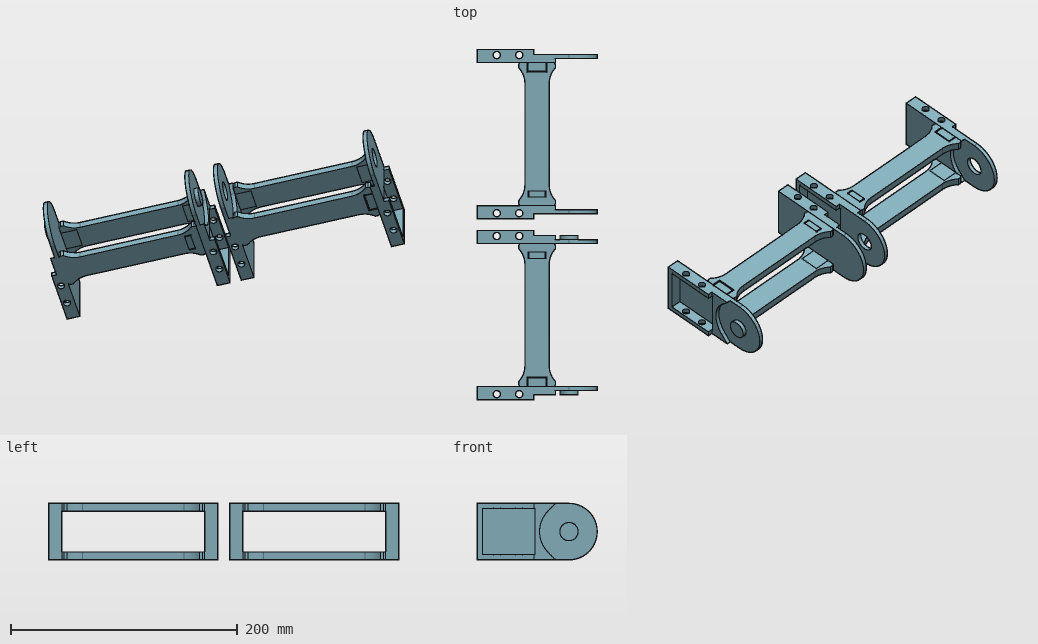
import cadquery as cq
import math


height = 50.0
total_length = 309.0
frame_gap = 10.2
frame_length = (total_length - frame_gap) / 2
frame_offset = (frame_length + frame_gap) / 2

inner_layer = 3.7
middle_layer = 3.7
outer_layer = 4.3
plate_thickness = inner_layer + middle_layer + outer_layer
outer_layer_length = height
pivot_x = 81.0
disc_radius = height / 2
disc_clearance = 1.0
boss_radius = 8.0
eye_clearance = 0.3

pocket_wall = 4.5
pocket_end_x = 51.0
pocket_floor = 2.0
pin_hole_radius = 3.0
pin_hole_xs = (17.3, 37.0)
pin_hole_inset = 5.0

bar_length = frame_length - 2 * plate_thickness
bar_thickness = 7.0
bar_x = 52.8
bar_half_width = 10.8
bar_end_half_width = 16.5
bar_end_straight = 4.3
flare_end = 18.2
corner_width = 1.0
corner_length = 2.0

tongue_width = 18.0
tongue_length = 14.5
tongue_thickness = 3.5
tab_side_gap = 1.0
hinge_window_width = 18.0
hinge_tab_length = 7.5
hinge_end_gap = 1.0
hinge_tab_drop = 0.3
latch_window_width = 16.0
latch_start = 7.5
latch_end = 13.0

bar_end_y = bar_length / 2
bar_inner_z = height / 2 - bar_thickness
tab_base_z = bar_inner_z + tongue_thickness


def block(x_range, y_range, z_range):
    """Axis-aligned box between pairs of limits."""
    size = [high - low for low, high in (x_range, y_range, z_range)]
    return cq.Workplane("XY").box(*size, centered=False).translate((x_range[0], y_range[0], z_range[0]))


def centred_block(width, y_range, z_range):
    """Box centred on the bars in X."""
    return block((bar_x - width / 2, bar_x + width / 2), y_range, z_range)


def pivot_cylinder(radius, y_range):
    """Cylinder along Y on the pivot axis."""
    low, high = y_range
    disc = cq.Workplane("XZ").center(pivot_x, 0).circle(radius).extrude(low - high)
    return disc.translate((0, low, 0))


def mirrored_in_y(shape):
    return shape.mirror("XZ")


def mirrored_in_z(shape):
    return shape.mirror("XY")



def plate_layer(end_x, y_range):
    return block((0, end_x), y_range, (-height / 2, height / 2))


def round_layer(y_range):
    """Layer that ends in the pivot disc."""
    return plate_layer(pivot_x, y_range).union(pivot_cylinder(disc_radius, y_range))


def stepped_layer(y_range):
    """Layer that stops in front of the next link's disc: an arc around the pivot and two 45 degree tangents."""
    low, high = y_range
    top = height / 2
    arc_radius = disc_radius + disc_clearance
    tangent_z = arc_radius * math.sin(math.pi / 4)
    tangent_x = pivot_x - tangent_z
    corner_x = tangent_x + top - tangent_z
    outline = (
        cq.Workplane("XZ")
        .moveTo(0, -top)
        .lineTo(corner_x, -top)
        .lineTo(tangent_x, -tangent_z)
        .threePointArc((pivot_x - arc_radius, 0), (tangent_x, tangent_z))
        .lineTo(corner_x, top)
        .lineTo(0, top)
        .close()
    )
    return outline.extrude(low - high).translate((0, low, 0))


def plate_body(has_boss):
    inner = (0, inner_layer)
    middle = (inner_layer, inner_layer + middle_layer)
    outer = (inner_layer + middle_layer, plate_thickness)
    body = plate_layer(outer_layer_length, outer)
    if has_boss:
        body = body.union(round_layer(inner)).union(stepped_layer(middle))
        body = body.union(pivot_cylinder(boss_radius, middle))
    else:
        body = body.union(stepped_layer(inner)).union(round_layer(middle))
        body = body.cut(pivot_cylinder(boss_radius + eye_clearance, middle))
    return body.cut(plate_pocket()).cut(pin_holes())


def plate_pocket():
    half_opening = height / 2 - pocket_wall
    return block(
        (pocket_wall, pocket_end_x), (pocket_floor, plate_thickness), (-half_opening, half_opening)
    )


def pin_holes():
    centres = [(x, plate_thickness - pin_hole_inset) for x in pin_hole_xs]
    holes = cq.Workplane("XY").pushPoints(centres).circle(pin_hole_radius)
    return holes.extrude(height / 2, both=True)


def tongue(is_hinge):
    """Upper tongue, reaching from the plate to -Y, with the tab that stands on it."""
    base = centred_block(tongue_width, (-tongue_length, 0), (bar_inner_z, tab_base_z))
    if is_hinge:
        tab_z = (tab_base_z, height / 2 - hinge_tab_drop)
        tab = centred_block(hinge_window_width - 2 * tab_side_gap, (-hinge_tab_length, 0), tab_z)
    else:
        tab_z = (tab_base_z, height / 2)
        tab = centred_block(latch_window_width - 2 * tab_side_gap, (-latch_end, -latch_start), tab_z)
    return base.union(tab)


def tongue_seat(is_hinge):
    """Space in the top bar for an upper tongue, with the window around its tab."""
    recess = centred_block(tongue_width, (-tongue_length, 0), (bar_inner_z, tab_base_z))
    window_z = (tab_base_z, height / 2)
    if is_hinge:
        window_length = hinge_tab_length + hinge_end_gap
        window = centred_block(hinge_window_width, (-window_length, 0), window_z)
    else:
        window = centred_block(latch_window_width, (-latch_end, -latch_start), window_z)
    return recess.union(window)



def bar_blank():
    """Flared bar at the top of the frame; each flare is an arc tangent to the narrow middle."""
    flare_length = flare_end - bar_end_straight
    flare_width = bar_end_half_width - bar_half_width
    flare_radius = (flare_length**2 + flare_width**2) / (2 * flare_width)
    half_angle = math.asin(flare_length / flare_radius) / 2
    arc_mid_x = bar_half_width + flare_radius * (1 - math.cos(half_angle))
    arc_mid_y = bar_end_y - flare_end + flare_radius * math.sin(half_angle)
    flare_start_y = bar_end_y - bar_end_straight
    quarter = (
        cq.Workplane("XY")
        .lineTo(bar_half_width, 0)
        .lineTo(bar_half_width, bar_end_y - flare_end)
        .threePointArc((arc_mid_x, arc_mid_y), (bar_end_half_width, flare_start_y))
        .lineTo(bar_end_half_width, bar_end_y - corner_length)
        .lineTo(bar_end_half_width - corner_width, bar_end_y)
        .lineTo(0, bar_end_y)
        .close()
        .extrude(bar_thickness)
    )
    half = quarter.union(quarter.mirror("YZ"))
    return half.union(mirrored_in_y(half)).translate((bar_x, 0, bar_inner_z))


def at_end(shape, is_hinge):
    """Move a shape drawn against a plate's inner face to the hinge or latch end of the frame."""
    moved = shape.translate((0, bar_end_y, 0))
    return moved if is_hinge else mirrored_in_y(moved)


def top_bar():
    bar = bar_blank()
    for is_hinge in (True, False):
        bar = bar.cut(at_end(tongue_seat(is_hinge), is_hinge))
    return bar


def bottom_bar(plate_is_hinge):
    """Bar that is one piece with one plate and has a tongue seat at its other end."""
    far_end_is_hinge = not plate_is_hinge
    seat = at_end(tongue_seat(far_end_is_hinge), far_end_is_hinge)
    return mirrored_in_z(bar_blank().cut(seat))


def loose_plate(has_boss, is_hinge):
    upper = tongue(is_hinge)
    plate = plate_body(has_boss).union(upper).union(mirrored_in_z(upper))
    return at_end(plate, is_hinge)


def barred_plate(has_boss, is_hinge):
    plate = at_end(plate_body(has_boss).union(tongue(is_hinge)), is_hinge)
    return plate.union(bottom_bar(is_hinge))


def frame(has_boss, bottom_bar_on_hinge):
    """The three bodies of a frame: loose plate, plate with bottom bar, and top bar."""
    return [
        loose_plate(has_boss, not bottom_bar_on_hinge),
        barred_plate(has_boss, bottom_bar_on_hinge),
        top_bar(),
    ]


eye_frame = [body.translate((0, frame_offset, 0)) for body in frame(False, False)]
disc_frame = [mirrored_in_y(body.translate((0, frame_offset, 0))) for body in frame(True, True)]

result = cq.Compound.makeCompound([body.val() for body in eye_frame + disc_frame])